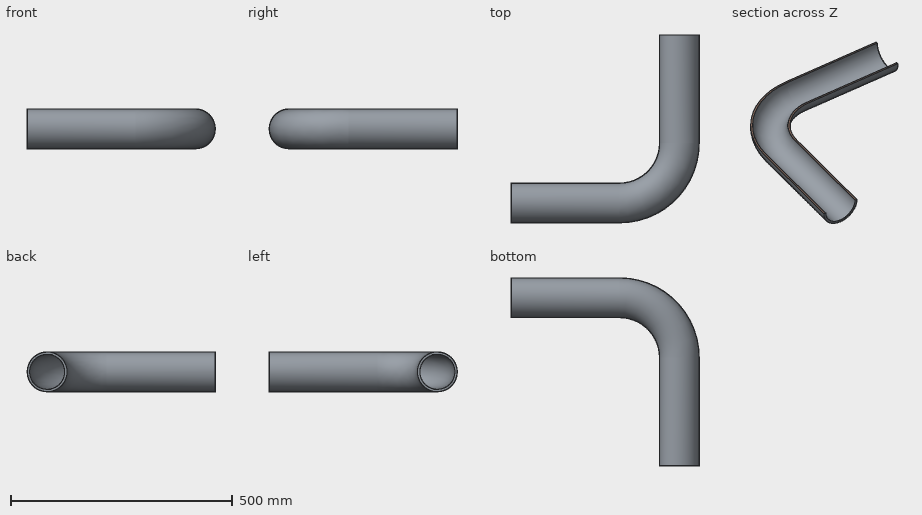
import cadquery as cq
import math

overall_length = 425.0
outer_diameter = 90.0
bore_diameter = 79.0
bend_radius = 1.5 * outer_diameter

leg_length = overall_length - bend_radius - outer_diameter / 2

bend_offset = bend_radius * math.sin(math.radians(45))
bend_start = (leg_length, 0)
bend_middle = (leg_length + bend_offset, bend_radius - bend_offset)
bend_end = (leg_length + bend_radius, bend_radius)
leg_end = (leg_length + bend_radius, bend_radius + leg_length)

centerline = (
    cq.Workplane("XY")
    .lineTo(*bend_start)
    .threePointArc(bend_middle, bend_end)
    .lineTo(*leg_end)
)

result = (
    cq.Workplane("YZ")
    .circle(outer_diameter / 2)
    .circle(bore_diameter / 2)
    .sweep(centerline)
)